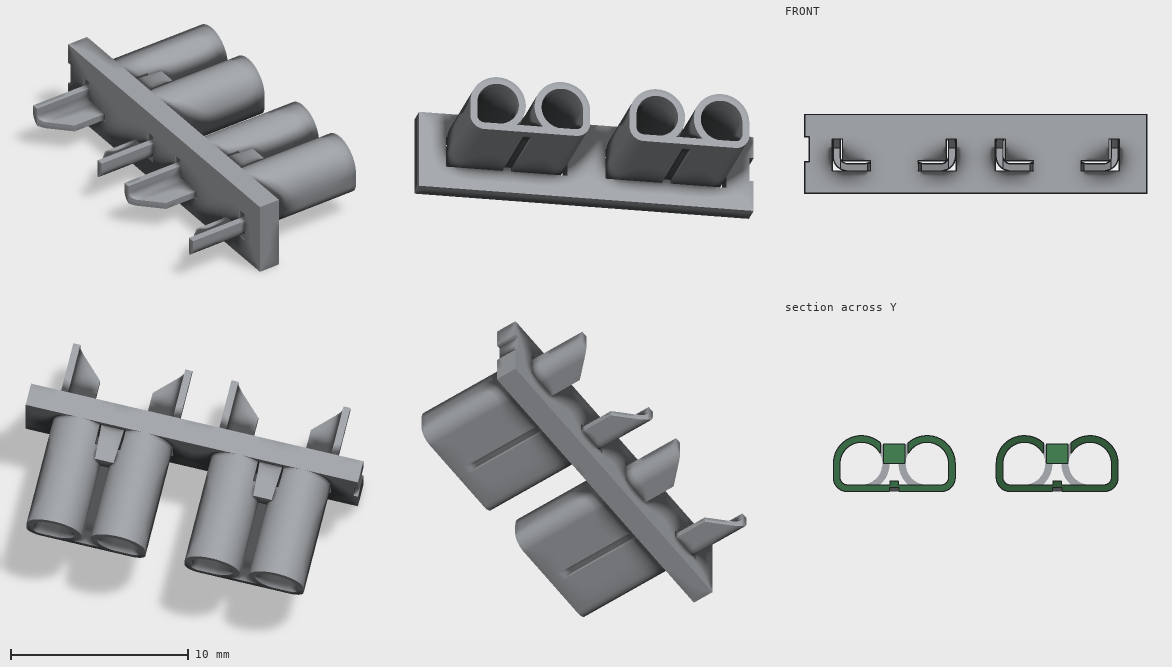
import cadquery as cq
import math

PLATE_LENGTH = 19.3
PLATE_THICKNESS = 1.3
PLATE_HEIGHT = 4.45
END_NOTCH_DEPTH = 0.25
END_NOTCH_BOTTOM = 1.8
END_NOTCH_HEIGHT = 1.39

SHEET = 0.4
OUTER_BEND_RADIUS = 2 * SHEET
INNER_BEND_RADIUS = OUTER_BEND_RADIUS - SHEET
FIRST_CONTACT_LEFT = 1.6
CONTACT_PITCH = 9.19
CONTACT_COUNT = 2
BARREL_LENGTH = 6.33
BARREL_RADIUS = 1.6
BARREL_HEIGHT = 3.18
BARREL_GAP = 0.5
TAIL_LENGTH = 3.47
TAIL_WIDTH = 1.93
TAIL_HEIGHT = 1.27
TAIL_ROOT_FILLET = 0.15

RELIEF_HALF_WIDTH = 0.75
RELIEF_UPPER_LENGTH = 1.18
RELIEF_LOWER_LENGTH = 0.8
CURL_CORNER_RADIUS = 0.4

STEP_START = 0.64
STEP_ANGLE = 35.0

SLOT_SIDE_CLEARANCE = 0.04
SLOT_WIDTH = 0.56
SLOT_LENGTH = 2.15
SLOT_HEIGHT = 1.8

KEY_LENGTH = 2.0
KEY_ROOT_WIDTH = 1.31
KEY_TIP_WIDTH = 1.08
KEY_ROOT_DROP = 0.45
KEY_TIP_DROP = 0.52

BARREL_START = PLATE_THICKNESS
BARREL_END = BARREL_START + BARREL_LENGTH
CONTACT_BOTTOM = PLATE_HEIGHT - BARREL_HEIGHT
SHEET_TOP = CONTACT_BOTTOM + SHEET
AXIS_HEIGHT = PLATE_HEIGHT - BARREL_RADIUS
AXIS_OFFSET = BARREL_RADIUS + BARREL_GAP / 2
HALF_WIDTH = AXIS_OFFSET + BARREL_RADIUS
FIRST_CENTRE = FIRST_CONTACT_LEFT + HALF_WIDTH
CONTACT_CENTRES = [FIRST_CENTRE + i * CONTACT_PITCH for i in range(CONTACT_COUNT)]


def box(x_min, x_max, y_min, y_max, z_min, z_max):
    size = (x_max - x_min, y_max - y_min, z_max - z_min)
    return cq.Workplane("XY").box(*size, centered=False).translate((x_min, y_min, z_min))


def section_plane(y):
    """XZ sketch plane at y; extruding by a negative length goes toward +Y."""
    return cq.Workplane("XZ", origin=(0, y, 0))


def with_mirror(left):
    """The left-hand shape together with its mirror image about x = 0."""
    return left.union(left.mirror("YZ"))


def bent_sheet(y_min, y_max, top, right):
    """Outer wall, bend and floor of the left-hand side, from y_min to y_max."""
    left = -HALF_WIDTH
    bend_x = left + OUTER_BEND_RADIUS
    bend_z = CONTACT_BOTTOM + OUTER_BEND_RADIUS
    return (
        section_plane(y_min)
        .moveTo(left, top)
        .lineTo(left, bend_z)
        .tangentArcPoint((bend_x, CONTACT_BOTTOM), relative=False)
        .lineTo(right, CONTACT_BOTTOM)
        .lineTo(right, SHEET_TOP)
        .lineTo(bend_x, SHEET_TOP)
        .tangentArcPoint((left + SHEET, bend_z), relative=False)
        .lineTo(left + SHEET, top)
        .close()
        .extrude(y_min - y_max)
    )


def barrel_curl():
    """Left-hand roof, curling down on the inner side until it meets the floor."""
    ring = (
        section_plane(BARREL_START)
        .center(-AXIS_OFFSET, AXIS_HEIGHT)
        .circle(BARREL_RADIUS)
        .circle(BARREL_RADIUS - SHEET)
        .extrude(-BARREL_LENGTH)
    )
    below_floor = box(-HALF_WIDTH, 0, BARREL_START, BARREL_END, 0, CONTACT_BOTTOM)
    outer_lower_quarter = box(-HALF_WIDTH, -AXIS_OFFSET, BARREL_START, BARREL_END, 0, AXIS_HEIGHT)
    return ring.cut(below_floor).cut(outer_lower_quarter)


def curl_corner_round(edge_y):
    """Waste outside the rounded corner where the free edge of the left-hand curl meets the floor."""
    inner_radius = BARREL_RADIUS - SHEET
    toe_x = -AXIS_OFFSET + math.sqrt(inner_radius**2 - (AXIS_HEIGHT - SHEET_TOP) ** 2)
    radius = CURL_CORNER_RADIUS
    return (
        cq.Workplane("XY", origin=(0, 0, SHEET_TOP))
        .moveTo(-AXIS_OFFSET, edge_y)
        .lineTo(toe_x + radius, edge_y)
        .radiusArc((toe_x, edge_y + radius), radius)
        .lineTo(-AXIS_OFFSET, edge_y + radius)
        .close()
        .extrude(AXIS_HEIGHT - SHEET_TOP)
    )


def key_relief():
    """Left-hand cut-back of the curl beside the plate, shorter below the barrel axis."""
    upper_end = BARREL_START + RELIEF_UPPER_LENGTH
    lower_end = BARREL_START + RELIEF_LOWER_LENGTH
    upper = box(-RELIEF_HALF_WIDTH, 0, BARREL_START, upper_end, AXIS_HEIGHT, PLATE_HEIGHT)
    lower = box(-AXIS_OFFSET, 0, BARREL_START, lower_end, SHEET_TOP, AXIS_HEIGHT)
    return upper.union(lower).union(curl_corner_round(lower_end))


def tail():
    """Left-hand tail, its floor cut at 45 degrees from the tip of the wall."""
    wall_inside = -HALF_WIDTH + SHEET
    right = -HALF_WIDTH + TAIL_WIDTH
    cut_size = right - wall_inside
    whole = bent_sheet(-TAIL_LENGTH, BARREL_START, CONTACT_BOTTOM + TAIL_HEIGHT, right)
    corner = (
        cq.Workplane("XY")
        .moveTo(wall_inside, -TAIL_LENGTH)
        .lineTo(right, -TAIL_LENGTH)
        .lineTo(right, -TAIL_LENGTH + cut_size)
        .close()
        .extrude(PLATE_HEIGHT)
    )
    return whole.cut(corner)


def tail_root_fillet():
    """Left-hand concave fillet between the tail and the floor edge of the barrel."""
    right = -HALF_WIDTH + TAIL_WIDTH
    radius = TAIL_ROOT_FILLET
    return (
        cq.Workplane("XY", origin=(0, 0, CONTACT_BOTTOM))
        .moveTo(right, BARREL_START)
        .lineTo(right, BARREL_START - radius)
        .radiusArc((right + radius, BARREL_START), radius)
        .close()
        .extrude(SHEET)
    )


def strip_face_points(first_radius, height):
    """Start, middle and end of the step on one face of the strip, as (y, z) from the open end inward."""
    angle = math.radians(STEP_ANGLE)
    radius_sum = OUTER_BEND_RADIUS + INNER_BEND_RADIUS
    start_y = BARREL_END - STEP_START
    return [
        (start_y, height),
        (start_y - first_radius * math.sin(angle), height + first_radius * (1 - math.cos(angle))),
        (start_y - radius_sum * math.sin(angle), height + radius_sum * (1 - math.cos(angle))),
    ]


def stepped_strip():
    """Strip between the barrels: low at the open end, then rising through two opposite bends."""
    top_low, top_middle, top_high = strip_face_points(INNER_BEND_RADIUS, SHEET_TOP)
    bottom_low, bottom_middle, bottom_high = strip_face_points(OUTER_BEND_RADIUS, CONTACT_BOTTOM)
    return (
        cq.Workplane("YZ", origin=(-BARREL_GAP / 2, 0, 0))
        .moveTo(BARREL_END, SHEET_TOP)
        .lineTo(*top_low)
        .tangentArcPoint(top_middle, relative=False)
        .tangentArcPoint(top_high, relative=False)
        .lineTo(BARREL_START, top_high[1])
        .lineTo(BARREL_START, bottom_high[1])
        .lineTo(*bottom_high)
        .tangentArcPoint(bottom_middle, relative=False)
        .tangentArcPoint(bottom_low, relative=False)
        .lineTo(BARREL_END, CONTACT_BOTTOM)
        .close()
        .extrude(BARREL_GAP)
    )


def contact(centre_x):
    barrel = bent_sheet(BARREL_START, BARREL_END, AXIS_HEIGHT, -BARREL_GAP / 2)
    barrel = barrel.union(barrel_curl()).cut(key_relief())
    half = barrel.union(tail()).union(tail_root_fillet())
    return with_mirror(half).union(stepped_strip()).translate((centre_x, 0, 0))


def tail_slots():
    """The pair of L-shaped slots for one contact, centred on x = 0."""
    left = -HALF_WIDTH - SLOT_SIDE_CLEARANCE
    bottom = CONTACT_BOTTOM
    upright = box(left, left + SLOT_WIDTH, 0, PLATE_THICKNESS, bottom, bottom + SLOT_HEIGHT)
    flat = box(left, left + SLOT_LENGTH, 0, PLATE_THICKNESS, bottom, bottom + SLOT_WIDTH)
    return with_mirror(upright.union(flat))


def key():
    """Tapered key centred on x = 0, its top sloping down to the tip between the barrels."""
    tip = PLATE_THICKNESS + KEY_LENGTH
    plan = (
        cq.Workplane("XY", origin=(0, 0, AXIS_HEIGHT))
        .polyline([
            (-KEY_ROOT_WIDTH / 2, PLATE_THICKNESS),
            (KEY_ROOT_WIDTH / 2, PLATE_THICKNESS),
            (KEY_TIP_WIDTH / 2, tip),
            (-KEY_TIP_WIDTH / 2, tip),
        ])
        .close()
        .extrude(BARREL_RADIUS)
    )
    profile = (
        cq.Workplane("YZ", origin=(-KEY_ROOT_WIDTH / 2, 0, 0))
        .polyline([
            (PLATE_THICKNESS, AXIS_HEIGHT),
            (PLATE_THICKNESS, PLATE_HEIGHT - KEY_ROOT_DROP),
            (tip, PLATE_HEIGHT - KEY_TIP_DROP),
            (tip, AXIS_HEIGHT),
        ])
        .close()
        .extrude(KEY_ROOT_WIDTH)
    )
    flanks = (
        section_plane(BARREL_START + RELIEF_UPPER_LENGTH)
        .pushPoints([(-AXIS_OFFSET, AXIS_HEIGHT), (AXIS_OFFSET, AXIS_HEIGHT)])
        .circle(BARREL_RADIUS)
        .extrude(-BARREL_LENGTH)
    )
    return plan.intersect(profile).cut(flanks)


def build_housing():
    body = box(0, PLATE_LENGTH, 0, PLATE_THICKNESS, 0, PLATE_HEIGHT)
    notch_top = END_NOTCH_BOTTOM + END_NOTCH_HEIGHT
    body = body.cut(box(0, END_NOTCH_DEPTH, 0, PLATE_THICKNESS, END_NOTCH_BOTTOM, notch_top))
    for centre_x in CONTACT_CENTRES:
        body = body.cut(tail_slots().translate((centre_x, 0, 0)))
        body = body.union(key().translate((centre_x, 0, 0)))
    return body


housing = build_housing()
contacts = [contact(centre_x) for centre_x in CONTACT_CENTRES]

contact_solids = [body.solids().val() for body in contacts]
result = cq.Compound.makeCompound([housing.solids().val(), *contact_solids])